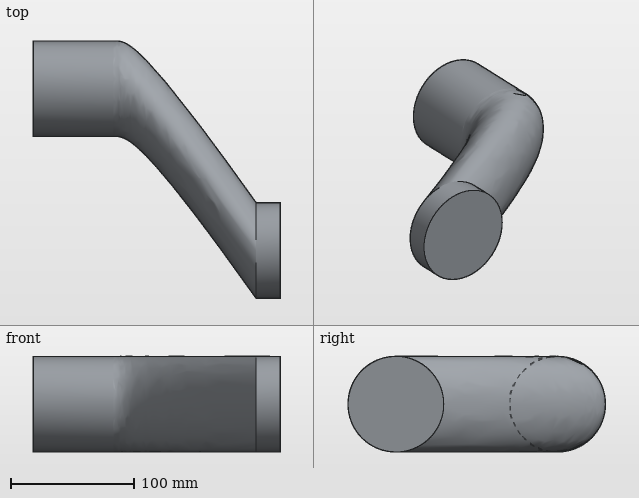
import cadquery as cq

total_length = 201.0
total_width = 209.4
tube_radius = 39.0
inlet_length = 65.7
flange_thickness = 19.7

flange_start = total_length - flange_thickness
inlet_axis_y = total_width / 2 - tube_radius
flange_axis_y = -inlet_axis_y

inlet_handle = 10.7
flange_handle_x = 94.6
flange_handle_y = 133.2


def round_profile(x, axis_y):
    """Round tube outline in the plane at x, centred on the given axis."""
    return cq.Workplane("YZ", origin=(x, axis_y, 0)).circle(tube_radius)


def build_bend():
    """Curved tube whose every section stays upright, parallel to the YZ plane."""
    centre_line = cq.Workplane("XY").bezier([
        (inlet_length, inlet_axis_y),
        (inlet_length + inlet_handle, inlet_axis_y),
        (flange_start - flange_handle_x, flange_axis_y + flange_handle_y),
        (flange_start, flange_axis_y),
    ])
    return round_profile(inlet_length, inlet_axis_y).sweep(centre_line, normal=(1, 0, 0))


inlet = round_profile(0, inlet_axis_y).extrude(inlet_length)
flange = round_profile(flange_start, flange_axis_y).extrude(flange_thickness)

result = inlet.union(build_bend()).union(flange)